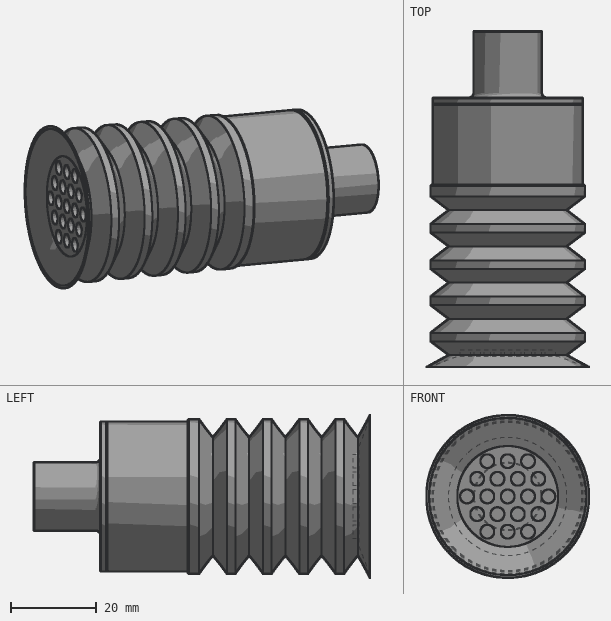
import cadquery as cq
import math

total_length = 78.3
lip_diameter = 38.0

crest_diameter = 36.0
neck_diameter = 27.6
first_neck_y = 2.8
last_neck_y = 36.6
fold_count = 4
fold_pitch = (last_neck_y - first_neck_y) / fold_count
neck_to_crest = 3.2
crest_width = 1.95
collar_width = 2.75
collar_chamfer = 0.4

body_diameter = 35.0
body_end_y = 62.8
body_edge_chamfer = 0.2
groove_y = 61.1
groove_width = 0.3
groove_depth = 0.15
stem_diameter = 16.0
stem_edge_chamfer = 0.2
stem_root_fillet = 1.0

cup_mouth_diameter = 36.65
cup_floor_diameter = 23.5
cup_depth = 2.5
hole_diameter = 3.2
holes_per_row = (3, 4, 5, 4, 3)
longest_row_length = 18.95
hole_spacing = longest_row_length / (max(holes_per_row) - 1)
hole_depth = 1.5


def turned_body():
    """Revolve the lip, bellows, body and stem as one solid; sketch X is the radius."""
    neck_radius = neck_diameter / 2
    crest_radius = crest_diameter / 2
    body_radius = body_diameter / 2
    stem_radius = stem_diameter / 2

    profile = cq.Workplane("XY").lineTo(lip_diameter / 2, 0)
    for fold in range(fold_count):
        neck_y = first_neck_y + fold * fold_pitch
        crest_y = neck_y + neck_to_crest
        profile = profile.lineTo(neck_radius, neck_y)
        profile = profile.lineTo(crest_radius, crest_y)
        profile = profile.lineTo(crest_radius, crest_y + crest_width)

    collar_y = last_neck_y + neck_to_crest
    collar_end_y = collar_y + collar_width
    profile = (
        profile.lineTo(neck_radius, last_neck_y)
        .lineTo(crest_radius, collar_y)
        .lineTo(crest_radius, collar_end_y - collar_chamfer)
        .lineTo(crest_radius - collar_chamfer, collar_end_y)
        .lineTo(body_radius, collar_end_y)
    )

    root_arc_offset = stem_root_fillet * (1 - math.sqrt(0.5))
    profile = (
        profile.lineTo(body_radius, groove_y)
        .lineTo(body_radius - groove_depth, groove_y)
        .lineTo(body_radius - groove_depth, groove_y + groove_width)
        .lineTo(body_radius, groove_y + groove_width)
        .lineTo(body_radius, body_end_y - body_edge_chamfer)
        .lineTo(body_radius - body_edge_chamfer, body_end_y)
        .lineTo(stem_radius + stem_root_fillet, body_end_y)
        .threePointArc(
            (stem_radius + root_arc_offset, body_end_y + root_arc_offset),
            (stem_radius, body_end_y + stem_root_fillet),
        )
        .lineTo(stem_radius, total_length - stem_edge_chamfer)
        .lineTo(stem_radius - stem_edge_chamfer, total_length)
        .lineTo(0, total_length)
        .close()
    )
    return profile.revolve(360, (0, 0, 0), (0, 1, 0))


def suction_cup():
    """Conical recess in the lip, with a flat floor."""
    return (
        cq.Workplane("XY")
        .lineTo(cup_mouth_diameter / 2, 0)
        .lineTo(cup_floor_diameter / 2, cup_depth)
        .lineTo(0, cup_depth)
        .close()
        .revolve(360, (0, 0, 0), (0, 1, 0))
    )


def floor_holes():
    """Blind holes on a triangular grid, sunk into the cup floor along +Y."""
    row_spacing = hole_spacing * math.sin(math.radians(60))
    middle_row = (len(holes_per_row) - 1) / 2
    centers = []
    for row, count in enumerate(holes_per_row):
        z = (row - middle_row) * row_spacing
        for column in range(count):
            x = (column - (count - 1) / 2) * hole_spacing
            centers.append((x, z))
    return (
        cq.Workplane("XZ", origin=(0, cup_depth, 0))
        .pushPoints(centers)
        .circle(hole_diameter / 2)
        .extrude(-hole_depth)
    )


result = turned_body().cut(suction_cup()).cut(floor_holes())